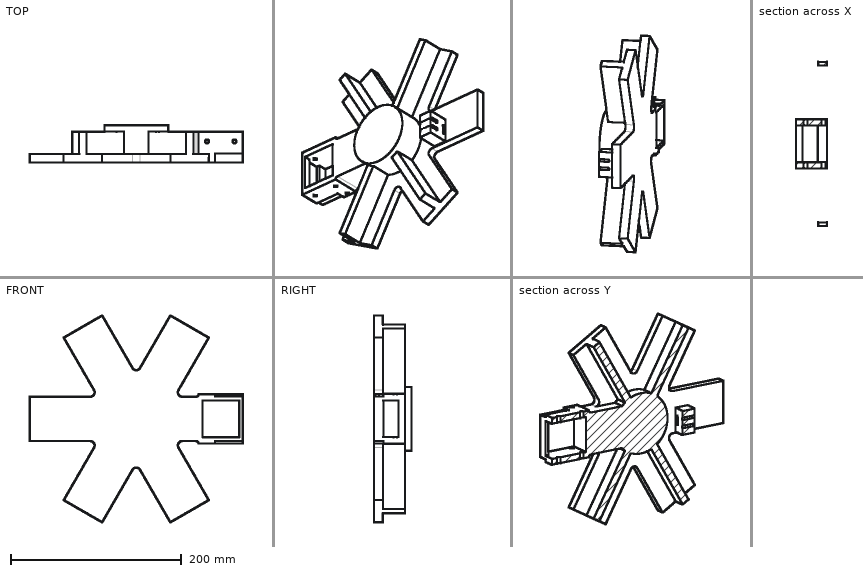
import cadquery as cq
import math

ARM_COUNT = 6
ARM_PITCH = 360 / ARM_COUNT
ARM_LENGTH = 125.0
OVERALL_HEIGHT = 242.61
ARM_HALF_WIDTH = (OVERALL_HEIGHT / 2 - ARM_LENGTH * math.sin(math.radians(ARM_PITCH))) / math.cos(
    math.radians(ARM_PITCH)
)
PLATE_THICKNESS = 10.3
NOTCH_RADIUS = 5.0

HUB_DIAMETER = 75.0
HUB_BACK = 44.0
RIB_WIDTH = 10.0
RIB_BACK = 36.5
RIB_ANGLES = (60, 120, 240, 300)

BRACKET_X = -75.0
BRACKET_THICKNESS = 17.0
BRACKET_TOP_Z = 5.0
BRACKET_HEIGHT = 30.0
BRACKET_MID_Z = BRACKET_TOP_Z - BRACKET_HEIGHT / 2
SLOT_LENGTH = 11.2
SLOT_WIDTH = 3.0
SLOT_PAIR_SPACING = 10.0
SLOT_PAIR_Y = 30.0
CROSS_SLOT_Y = 13.5

FRAME_STEP = 3.0
FRAME_START_X = 70.0
FRAME_HALF_HEIGHT = ARM_HALF_WIDTH + FRAME_STEP
OPENING_SIZE = 42.8
END_WALL = 4.5
OPENING_MID_X = ARM_LENGTH - END_WALL - OPENING_SIZE / 2
RELIEF_DEPTH_Y = 11.0
WINDOW_FRONT = RELIEF_DEPTH_Y
WINDOW_BACK = 28.5
RELIEF_LENGTH = 33.0
SCREW_DIAMETER = 4.2
SCREW_SPACING_X = 32.0
SCREW_SPACING_Y = 21.0
INNER_SCREW_X = 83.0
OUTER_SCREW_X = INNER_SCREW_X + SCREW_SPACING_X
BACK_SCREW_Y = 25.0
FRONT_SCREW_Y = BACK_SCREW_Y - SCREW_SPACING_Y
SCREW_POINTS = (
    (INNER_SCREW_X, FRONT_SCREW_Y),
    (INNER_SCREW_X, BACK_SCREW_Y),
    (OUTER_SCREW_X, BACK_SCREW_Y),
)


def box(x_range, y_range, z_range):
    """Axis-aligned box given by its limits along each axis."""
    size = [high - low for low, high in (x_range, y_range, z_range)]
    corner = (x_range[0], y_range[0], z_range[0])
    return cq.Workplane("XY").box(*size, centered=False).translate(corner)


def arm(angle, half_width, y_range):
    """Bar from the centre out to the arm tip, turned about the Y axis."""
    bar = box((0, ARM_LENGTH), y_range, (-half_width, half_width))
    return bar.rotate((0, 0, 0), (0, 1, 0), -angle)


def star_plate():
    plate = arm(0, ARM_HALF_WIDTH, (0, PLATE_THICKNESS))
    for index in range(1, ARM_COUNT):
        plate = plate.union(arm(index * ARM_PITCH, ARM_HALF_WIDTH, (0, PLATE_THICKNESS)))
    corner_reach = ARM_HALF_WIDTH / math.sin(math.radians(ARM_PITCH / 2))
    limit = corner_reach + 1
    corner_edges = cq.selectors.BoxSelector((-limit, -limit, -limit), (limit, limit, limit))
    return plate.edges("|Y").edges(corner_edges).fillet(NOTCH_RADIUS)


def hub():
    return cq.Workplane("XZ").circle(HUB_DIAMETER / 2).extrude(-HUB_BACK)


def bracket():
    body = box(
        (BRACKET_X, BRACKET_X + BRACKET_THICKNESS),
        (0, RIB_BACK),
        (BRACKET_TOP_Z - BRACKET_HEIGHT, BRACKET_TOP_Z),
    )
    face = cq.Workplane("YZ", origin=(BRACKET_X, 0, BRACKET_MID_Z))
    pair_points = [(SLOT_PAIR_Y, side * SLOT_PAIR_SPACING / 2) for side in (-1, 1)]
    pair = face.pushPoints(pair_points).slot2D(SLOT_LENGTH, SLOT_WIDTH).extrude(BRACKET_THICKNESS)
    cross = face.center(CROSS_SLOT_Y, 0).slot2D(SLOT_LENGTH, SLOT_WIDTH, 90).extrude(BRACKET_THICKNESS)
    return body.cut(pair).cut(cross)


def frame_body():
    """Deep +X arm, widened to the frame through concave quarter rounds."""
    shoulder_x = FRAME_START_X + FRAME_STEP
    bend = FRAME_STEP * math.sin(math.radians(45))
    bend_x = FRAME_START_X + bend
    bend_z = FRAME_HALF_HEIGHT - bend
    outline = (
        cq.Workplane("XZ")
        .moveTo(0, -ARM_HALF_WIDTH)
        .lineTo(FRAME_START_X, -ARM_HALF_WIDTH)
        .threePointArc((bend_x, -bend_z), (shoulder_x, -FRAME_HALF_HEIGHT))
        .lineTo(ARM_LENGTH, -FRAME_HALF_HEIGHT)
        .lineTo(ARM_LENGTH, FRAME_HALF_HEIGHT)
        .lineTo(shoulder_x, FRAME_HALF_HEIGHT)
        .threePointArc((bend_x, bend_z), (FRAME_START_X, ARM_HALF_WIDTH))
        .lineTo(0, ARM_HALF_WIDTH)
        .close()
    )
    return outline.extrude(-RIB_BACK)


def frame_cuts():
    half_opening = OPENING_SIZE / 2
    opening_z = (-half_opening, half_opening)
    opening_x = (OPENING_MID_X - half_opening, OPENING_MID_X + half_opening)
    cuts = box(opening_x, (0, RIB_BACK), opening_z)
    cuts = cuts.union(box((OPENING_MID_X, ARM_LENGTH), (WINDOW_FRONT, WINDOW_BACK), opening_z))
    relief_x = (ARM_LENGTH - RELIEF_LENGTH, ARM_LENGTH)
    for relief_z in (
        (ARM_HALF_WIDTH, FRAME_HALF_HEIGHT),
        (-FRAME_HALF_HEIGHT, -ARM_HALF_WIDTH),
    ):
        cuts = cuts.union(box(relief_x, (0, RELIEF_DEPTH_Y), relief_z))
    screws = (
        cq.Workplane("XY", origin=(0, 0, -FRAME_HALF_HEIGHT))
        .pushPoints(SCREW_POINTS)
        .circle(SCREW_DIAMETER / 2)
        .extrude(2 * FRAME_HALF_HEIGHT)
    )
    return cuts.union(screws)


result = star_plate().union(hub())
for rib_angle in RIB_ANGLES:
    result = result.union(arm(rib_angle, RIB_WIDTH / 2, (0, RIB_BACK)))
result = result.union(bracket()).union(frame_body()).cut(frame_cuts())